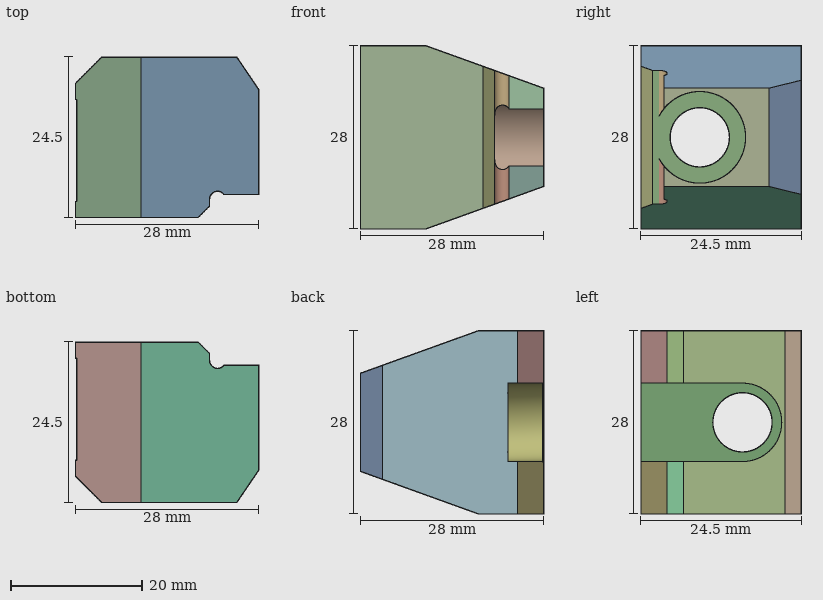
import cadquery as cq
import math

length = 28.0
width = 24.5
height = 28.0

taper_start = 10.0
nose_height = 15.0

slot_side_chamfer = 4.0
nose_chamfer_x = 3.35
nose_chamfer_y = 4.95
front_chamfer = 1.75
step_x = 20.5
step_depth = 3.5
relief_radius = 1.2
relief_rise = 0.5

recess_depth = 0.2
recess_start = 2.5
recess_end = 18.0

hole_y = 9.0
hole_radius = 4.5
slot_radius = 6.0
slot_depth = 5.5
counterbore_radius = 7.0
counterbore_depth = length - step_x


def x_cylinder(radius, start, depth):
    """Cylinder on the hole axis, running along +X."""
    return (
        cq.Workplane("YZ", origin=(start, hole_y, 0))
        .circle(radius)
        .extrude(depth)
    )


def plan_body():
    """Full-height block with chamfers, nose step and relief groove."""
    relief_x = step_x + relief_radius
    relief_y = step_depth + relief_rise - relief_radius
    relief_end_x = relief_x + math.sqrt(relief_radius**2 - (step_depth - relief_y) ** 2)
    return (
        cq.Workplane("XY", origin=(0, 0, -height / 2))
        .moveTo(0, 0)
        .lineTo(step_x - front_chamfer, 0)
        .lineTo(step_x, front_chamfer)
        .lineTo(step_x, relief_y)
        .threePointArc((relief_x, step_depth + relief_rise), (relief_end_x, step_depth))
        .lineTo(length, step_depth)
        .lineTo(length, width - nose_chamfer_y)
        .lineTo(length - nose_chamfer_x, width)
        .lineTo(slot_side_chamfer, width)
        .lineTo(0, width - slot_side_chamfer)
        .lineTo(0, recess_end)
        .lineTo(recess_depth, recess_end)
        .lineTo(recess_depth, recess_start)
        .lineTo(0, recess_start)
        .close()
        .extrude(height)
    )


def taper_envelope():
    """Side profile narrowing symmetrically towards the nose."""
    return (
        cq.Workplane("XZ")
        .polyline([
            (0, -height / 2),
            (taper_start, -height / 2),
            (length, -nose_height / 2),
            (length, nose_height / 2),
            (taper_start, height / 2),
            (0, height / 2),
        ])
        .close()
        .extrude(-width)
    )


def open_slot():
    """Round-ended slot that runs out through the back face."""
    straight = cq.Workplane("XY").box(
        slot_depth, width - hole_y, 2 * slot_radius, centered=(False, False, True)
    ).translate((0, hole_y, 0))
    return straight.union(x_cylinder(slot_radius, 0, slot_depth))


result = (
    plan_body()
    .intersect(taper_envelope())
    .cut(open_slot())
    .cut(x_cylinder(hole_radius, 0, length))
    .cut(x_cylinder(counterbore_radius, length - counterbore_depth, counterbore_depth))
)